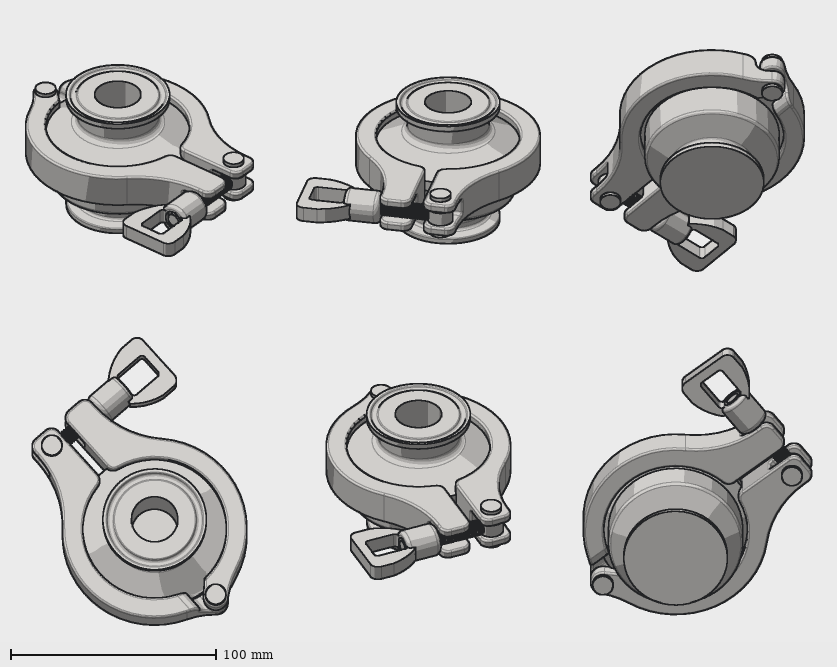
import cadquery as cq
import math


SELECT_MARGIN = 0.05

BODY_TOP_Z = 26.35
BODY_HEIGHT = 65.0
BODY_BOTTOM_Z = BODY_TOP_Z - BODY_HEIGHT
FLANGE_R = 50.5 / 2
FLANGE_EDGE = 2.85
FLANGE_SLOPE = math.radians(20)
FLANGE_EDGE_FILLET = 0.6
NECK_R = 40.0 / 2
NECK_FILLET = 1.6
BORE_R = 22.6 / 2
BORE_FLOOR_Z = 0.0
GROOVE_R = 43.5 / 2
GROOVE_HALF_WIDTH = 1.6
GROOVE_DEPTH = 1.4
GROOVE_LIP_FILLET = 0.6
FERRULE_R = 77.5 / 2
FERRULE_EDGE_Z = 2.6
CAP_FLARE_R = 22.75
CAP_FLARE_LOW_Z = 10.3
CAP_FLARE_HIGH_Z = 14.0
CAP_FLARE_MID_OFFSET = 0.75
CAP_FLARE_MID_RISE = 1.3
CHAMBER_R = 65.5 / 2
CHAMBER_BOTTOM_Z = -22.0
CHAMBER_FILLET = 2.0
CHAMBER_CONE_BOTTOM_Z = -29.1
CONE_FILLET = 2.4

CLAMP_HALF_HEIGHT = 8.5
CLAMP_R = 45.0
CLAMP_INNER_R = 35.0
CLAMP_EDGE_FILLET = 1.0
CLAMP_MOUTH_HALF_GAP = 3.0
ARM_TIP_X = 71.9
ARM_OUTER_Y = 18.7
ARM_BLEND_R = 48.3
ARM_CORNER_R = 4.5
SLOT_HALF_HEIGHT = 4.15
SLOT_START_X = 55.6
SLOT_CORNER_R = 1.5
SLOT_EDGE_FILLET = 1.0

HINGE_X = -45.0
KNUCKLE_R = 6.0
KNUCKLE_BLEND_R = 40.0
KNUCKLE_INNER_ANGLE = math.radians(45)
KNUCKLE_GAP_HALF = 1.0
STEP_END_Y = 4.7
STEP_REACH_X = -25.0

PIN_R = 6.0 / 2
PIN_COLLAR_R = 8.0 / 2
PIN_HEAD_R = 10.0 / 2
PIN_TOP_Z = 10.5
PIN_BOTTOM_Z = -11.2
PIN_FOOT_HEIGHT = 1.9

BOLT_X = 63.8
BOLT_Z = -0.7
BOLT_PIN_Y = 10.5
EYE_R = 6.0
EYE_HALF_HEIGHT = 3.4
THREAD_CREST_R = 7.57 / 2
THREAD_ROOT_R = 6.5 / 2
THREAD_PITCH = 1.25
THREAD_START_Y = 5.0
NUT_R = 16.0 / 2
NUT_BOTTOM_Y = -36.7
NUT_TOP_FILLET = 2.8
NUT_BOTTOM_FILLET = 1.9
NUT_SOCKET_R = 9.5 / 2
NUT_SOCKET_DEPTH = 2.0
WING_X = 63.5
WING_HALF_WIDTH = 79.0 - WING_X
WING_THICKNESS = 7.5
WING_BOTTOM_Y = -58.74
WING_SHOULDER_Y = -33.0
WING_SIDE_Y = -48.0
WING_BULGE_X = 13.4
WING_BULGE_Y = -41.2
WING_CORNER_R = 4.0
WINDOW_WIDTH = 13.3
WINDOW_BOTTOM_Y = -53.85
WINDOW_CORNER_R = 1.8


def upright_disc(radius, low_z, high_z):
    """Cylinder along Z between two heights."""
    return cq.Workplane("XY").workplane(offset=low_z).circle(radius).extrude(high_z - low_z)


def ring_edges_at(radius, z):
    """Selector for the circular edges near a given radius and height on the body."""
    reach = radius + SELECT_MARGIN
    inside = radius - SELECT_MARGIN
    low = z - SELECT_MARGIN
    high = z + SELECT_MARGIN
    outer = cq.selectors.BoxSelector((-reach, -reach, low), (reach, reach, high), True)
    inner = cq.selectors.BoxSelector((-inside, -inside, low), (inside, inside, high), True)
    return outer - inner


def valve_body():
    """Flanged revolve with a gasket groove and a blind bore in the top face."""
    slope_drop = (FLANGE_R - NECK_R) * math.tan(FLANGE_SLOPE)
    top_edge_z = BODY_TOP_Z - FLANGE_EDGE
    bottom_edge_z = BODY_BOTTOM_Z + FLANGE_EDGE
    flare_mid = (NECK_R + CAP_FLARE_MID_OFFSET, CAP_FLARE_LOW_Z + CAP_FLARE_MID_RISE)
    cap_slope = (CAP_FLARE_LOW_Z - FERRULE_EDGE_Z) / (FERRULE_R - CAP_FLARE_R)
    chamber_drop = (FERRULE_R - CHAMBER_R) * cap_slope
    profile = (
        cq.Workplane("XZ")
        .moveTo(0, BODY_BOTTOM_Z)
        .lineTo(FLANGE_R, BODY_BOTTOM_Z)
        .lineTo(FLANGE_R, bottom_edge_z)
        .lineTo(NECK_R, bottom_edge_z + slope_drop)
        .lineTo(NECK_R, CHAMBER_CONE_BOTTOM_Z)
        .lineTo(CHAMBER_R, CHAMBER_BOTTOM_Z)
        .lineTo(CHAMBER_R, -FERRULE_EDGE_Z - chamber_drop)
        .lineTo(FERRULE_R, -FERRULE_EDGE_Z)
        .lineTo(FERRULE_R, FERRULE_EDGE_Z)
        .lineTo(CAP_FLARE_R, CAP_FLARE_LOW_Z)
        .threePointArc(flare_mid, (NECK_R, CAP_FLARE_HIGH_Z))
        .lineTo(NECK_R, top_edge_z - slope_drop)
        .lineTo(FLANGE_R, top_edge_z)
        .lineTo(FLANGE_R, BODY_TOP_Z)
        .lineTo(0, BODY_TOP_Z)
        .close()
    )
    body = profile.revolve(360, (0, 0, 0), (0, 1, 0))
    for neck_z in (top_edge_z - slope_drop, bottom_edge_z + slope_drop):
        body = body.edges(ring_edges_at(NECK_R, neck_z)).fillet(NECK_FILLET)
    for edge_z in (top_edge_z, bottom_edge_z):
        body = body.edges(ring_edges_at(FLANGE_R, edge_z)).fillet(FLANGE_EDGE_FILLET)
    body = body.edges(ring_edges_at(NECK_R, CHAMBER_CONE_BOTTOM_Z)).fillet(CONE_FILLET)
    body = body.edges(ring_edges_at(CHAMBER_R, CHAMBER_BOTTOM_Z)).fillet(CHAMBER_FILLET)

    groove = (
        cq.Workplane("XZ")
        .moveTo(GROOVE_R - GROOVE_HALF_WIDTH, BODY_TOP_Z)
        .threePointArc((GROOVE_R, BODY_TOP_Z - GROOVE_DEPTH), (GROOVE_R + GROOVE_HALF_WIDTH, BODY_TOP_Z))
        .close()
        .revolve(360, (0, 0, 0), (0, 1, 0))
    )
    body = body.cut(groove)
    for lip_r in (GROOVE_R - GROOVE_HALF_WIDTH, GROOVE_R + GROOVE_HALF_WIDTH):
        body = body.edges(ring_edges_at(lip_r, BODY_TOP_Z)).fillet(GROOVE_LIP_FILLET)

    return body.cut(upright_disc(BORE_R, BORE_FLOOR_Z, BODY_TOP_Z))


def along(start, end, distance):
    """Point at a distance from start on the way to end."""
    share = distance / math.dist(start, end)
    return (start[0] + share * (end[0] - start[0]), start[1] + share * (end[1] - start[1]))


def concave_arc_mid(center, radius, start, end):
    """Point of the arc midway between start and end, on the chord side of the center."""
    chord_mid = ((start[0] + end[0]) / 2, (start[1] + end[1]) / 2)
    return along(center, chord_mid, radius)


def clamp_outline():
    """Plan of the +Y clamp half: arm, ring and full hinge knuckle."""
    origin = (0.0, 0.0)
    hinge = (HINGE_X, 0.0)

    arm_center_y = ARM_OUTER_Y + ARM_BLEND_R
    arm_center = (math.sqrt((CLAMP_R + ARM_BLEND_R) ** 2 - arm_center_y ** 2), arm_center_y)
    arm_start = (arm_center[0], ARM_OUTER_Y)
    arm_end = along(origin, arm_center, CLAMP_R)

    from_ring = CLAMP_R + KNUCKLE_BLEND_R
    from_hinge = KNUCKLE_R + KNUCKLE_BLEND_R
    blend_x = (from_ring ** 2 - from_hinge ** 2 + HINGE_X ** 2) / (2 * HINGE_X)
    blend_center = (blend_x, math.sqrt(from_ring ** 2 - blend_x ** 2))
    blend_start = along(origin, blend_center, CLAMP_R)
    blend_end = along(hinge, blend_center, KNUCKLE_R)

    dir_x = math.sin(KNUCKLE_INNER_ANGLE)
    dir_y = math.cos(KNUCKLE_INNER_ANGLE)
    inner_start = (HINGE_X + KNUCKLE_R * dir_y, -KNUCKLE_R * dir_x)
    half_b = inner_start[0] * dir_x + inner_start[1] * dir_y
    excess = inner_start[0] ** 2 + inner_start[1] ** 2 - CLAMP_INNER_R ** 2
    run = -half_b - math.sqrt(half_b ** 2 - excess)
    inner_end = (inner_start[0] + run * dir_x, inner_start[1] + run * dir_y)

    mouth_x = math.sqrt(CLAMP_INNER_R ** 2 - CLAMP_MOUTH_HALF_GAP ** 2)
    return (
        cq.Workplane("XY")
        .workplane(offset=-CLAMP_HALF_HEIGHT)
        .moveTo(mouth_x, CLAMP_MOUTH_HALF_GAP)
        .lineTo(ARM_TIP_X, CLAMP_MOUTH_HALF_GAP)
        .lineTo(ARM_TIP_X, ARM_OUTER_Y)
        .lineTo(*arm_start)
        .threePointArc(concave_arc_mid(arm_center, ARM_BLEND_R, arm_start, arm_end), arm_end)
        .threePointArc((0, CLAMP_R), blend_start)
        .threePointArc(concave_arc_mid(blend_center, KNUCKLE_BLEND_R, blend_start, blend_end), blend_end)
        .threePointArc((HINGE_X - KNUCKLE_R * dir_y, -KNUCKLE_R * dir_x), inner_start)
        .lineTo(*inner_end)
        .threePointArc((0, CLAMP_INNER_R), (mouth_x, CLAMP_MOUTH_HALF_GAP))
        .close()
    )


def knuckle_clearance():
    """S-shaped step that clears the space above the lower knuckle."""
    arc_r = (CLAMP_HALF_HEIGHT + KNUCKLE_GAP_HALF) / 2
    mid = (STEP_END_Y + arc_r, arc_r - KNUCKLE_GAP_HALF)
    start_y = STEP_END_Y + 2 * arc_r
    beyond_y = -2 * KNUCKLE_R
    above_z = 2 * CLAMP_HALF_HEIGHT
    start_x = HINGE_X - 2 * KNUCKLE_R
    return (
        cq.Workplane("YZ")
        .workplane(offset=start_x)
        .moveTo(beyond_y, -KNUCKLE_GAP_HALF)
        .lineTo(beyond_y, above_z)
        .lineTo(start_y, above_z)
        .lineTo(start_y, CLAMP_HALF_HEIGHT)
        .radiusArc(mid, -arc_r)
        .radiusArc((STEP_END_Y, -KNUCKLE_GAP_HALF), arc_r)
        .close()
        .extrude(STEP_REACH_X - start_x)
    )


def clamp_half():
    """The +Y half; the -Y half is the same piece turned half a turn about X."""
    half = clamp_outline().extrude(2 * CLAMP_HALF_HEIGHT)
    mouth_corners = cq.selectors.BoxSelector(
        (0, CLAMP_MOUTH_HALF_GAP - SELECT_MARGIN, -SELECT_MARGIN),
        (ARM_TIP_X + SELECT_MARGIN, CLAMP_MOUTH_HALF_GAP + SELECT_MARGIN, SELECT_MARGIN),
    )
    tip_corners = cq.selectors.BoxSelector(
        (ARM_TIP_X - SELECT_MARGIN, 0, -SELECT_MARGIN),
        (ARM_TIP_X + SELECT_MARGIN, ARM_OUTER_Y + SELECT_MARGIN, SELECT_MARGIN),
    )
    half = half.edges("|Z").edges(mouth_corners + tip_corners).fillet(ARM_CORNER_R)
    half = half.cut(knuckle_clearance())
    half = half.faces(">Z or <Z").edges().fillet(CLAMP_EDGE_FILLET)

    slot = (
        cq.Workplane("XY")
        .box(ARM_TIP_X, 2 * ARM_OUTER_Y, 2 * SLOT_HALF_HEIGHT, centered=(False, False, True))
        .translate((SLOT_START_X, 0, 0))
        .edges("|Y and <X")
        .fillet(SLOT_CORNER_R)
    )
    half = half.cut(slot)
    slot_rim = cq.selectors.BoxSelector(
        (SLOT_START_X - SELECT_MARGIN, 0, -SLOT_HALF_HEIGHT - SELECT_MARGIN),
        (ARM_TIP_X + SELECT_MARGIN, 2 * ARM_OUTER_Y, SLOT_HALF_HEIGHT + SELECT_MARGIN),
        True,
    )
    return half.edges(slot_rim).edges("not |Y").fillet(SLOT_EDGE_FILLET)


def headed_pin(x, y):
    """Headed pin along Z with a collar and a foot disc under the clamp."""
    head = upright_disc(PIN_HEAD_R, CLAMP_HALF_HEIGHT, PIN_TOP_Z)
    shank = upright_disc(PIN_R, PIN_BOTTOM_Z, PIN_TOP_Z)
    collar = upright_disc(PIN_COLLAR_R, PIN_BOTTOM_Z, -CLAMP_HALF_HEIGHT)
    foot = upright_disc(PIN_HEAD_R, PIN_BOTTOM_Z, PIN_BOTTOM_Z + PIN_FOOT_HEIGHT)
    return head.union(shank).union(collar).union(foot).translate((x, y, 0))


def swing_bolt():
    """Eye on the arm pin and a ring-threaded shank running down to the end of the nut."""
    eye = upright_disc(EYE_R, BOLT_Z - EYE_HALF_HEIGHT, BOLT_Z + EYE_HALF_HEIGHT)
    eye = eye.translate((BOLT_X, BOLT_PIN_Y, 0))
    turns = math.ceil((THREAD_START_Y + ARM_OUTER_Y) / THREAD_PITCH)
    shank = cq.Workplane("XY").moveTo(0, BOLT_PIN_Y).lineTo(THREAD_ROOT_R, BOLT_PIN_Y)
    for turn in range(turns):
        ridge_y = THREAD_START_Y - turn * THREAD_PITCH
        shank = shank.lineTo(THREAD_ROOT_R, ridge_y)
        shank = shank.lineTo(THREAD_CREST_R, ridge_y - THREAD_PITCH / 2)
    shank = (
        shank.lineTo(THREAD_ROOT_R, THREAD_START_Y - turns * THREAD_PITCH)
        .lineTo(THREAD_ROOT_R, NUT_BOTTOM_Y)
        .lineTo(0, NUT_BOTTOM_Y)
        .close()
        .revolve(360, (0, 0, 0), (0, 1, 0))
        .translate((BOLT_X, 0, BOLT_Z))
    )
    return eye.union(shank)


def wing_nut():
    """Round barrel against the -Y arm with a flat windowed grip."""
    wing = (
        cq.Workplane("XY")
        .moveTo(-NUT_R, WING_SHOULDER_Y)
        .threePointArc((-WING_BULGE_X, WING_BULGE_Y), (-WING_HALF_WIDTH, WING_SIDE_Y))
        .lineTo(-WING_HALF_WIDTH, WING_BOTTOM_Y)
        .lineTo(WING_HALF_WIDTH, WING_BOTTOM_Y)
        .lineTo(WING_HALF_WIDTH, WING_SIDE_Y)
        .threePointArc((WING_BULGE_X, WING_BULGE_Y), (NUT_R, WING_SHOULDER_Y))
        .close()
        .extrude(WING_THICKNESS / 2, both=True)
        .edges("|Z and <Y")
        .fillet(WING_CORNER_R)
    )
    barrel = (
        cq.Workplane("XZ", origin=(0, -ARM_OUTER_Y, 0)).circle(NUT_R).extrude(-ARM_OUTER_Y - NUT_BOTTOM_Y)
    )
    barrel = barrel.faces(">Y").edges().fillet(NUT_TOP_FILLET)
    barrel = barrel.faces("<Y").edges().fillet(NUT_BOTTOM_FILLET)
    window_height = NUT_BOTTOM_Y - WINDOW_BOTTOM_Y
    window = (
        cq.Workplane("XY")
        .center(0, (NUT_BOTTOM_Y + WINDOW_BOTTOM_Y) / 2)
        .rect(WINDOW_WIDTH, window_height)
        .extrude(WING_THICKNESS, both=True)
        .edges("|Z")
        .fillet(WINDOW_CORNER_R)
    )
    socket = cq.Workplane("XZ", origin=(0, NUT_BOTTOM_Y, 0)).circle(NUT_SOCKET_R).extrude(-NUT_SOCKET_DEPTH)
    grip = wing.cut(window).translate((WING_X - BOLT_X, 0, 0))
    return grip.union(barrel).cut(socket).translate((BOLT_X, 0, BOLT_Z))


far_half = clamp_half()
near_half = far_half.rotate((0, 0, 0), (1, 0, 0), 180)
result = (
    valve_body()
    .union(far_half)
    .union(near_half)
    .union(headed_pin(HINGE_X, 0))
    .union(headed_pin(BOLT_X, BOLT_PIN_Y))
    .union(swing_bolt())
    .union(wing_nut())
)